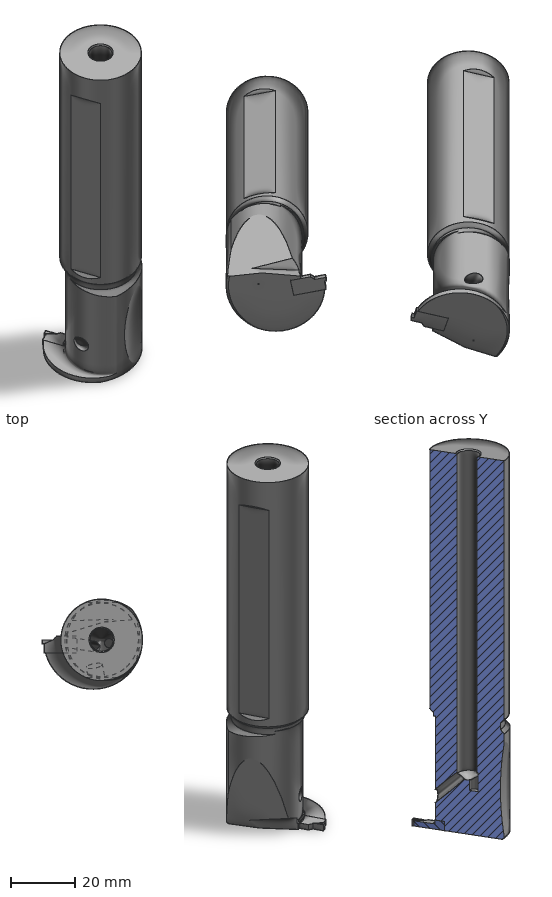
import cadquery as cq
import math

LENGTH = 127.0
SHANK_R = 12.7
SHANK_BOTTOM = 40.5

FLAT_OFFSET = 11.7
FLAT_BOTTOM = 43.4
FLAT_TOP = 117.0
FLAT_CLEAR = 1.3

GROOVE_R = 11.4
GROOVE_BOTTOM = 37.1

DISC_X = -2.7
DISC_R = SHANK_R - DISC_X
FOOT_Z = 0.4
FLANGE_T = 1.9
FLANGE_TOP = FOOT_Z + FLANGE_T

NIB_R = 0.1
NIB_X = 2.3
NIB_Y = 2.0

NECK_X = 1.5
NECK_R = 12.3
NECK_TOP = 38.1
NECK_FILLET = 0.6

BEVEL_X = -4.5
BEVEL_R = 16.4
BEVEL_H = 2.5

FLANK_Y = 5.3
FLANK_TOP_Y = 12.7
FLANK_TOP_Z = 30.5
FLANK_TURN = 5.0

SCOOP_Z = 17.1
SCOOP_R = 95.2
SCOOP_DEPTH = 1.3
SCOOP_TURN = -3.3

POCKET_START_X = -10.9
POCKET_START_Y = 2.0
POCKET_END_X = 1.3
POCKET_END_Y = 5.7
POCKET_TOP_Z = 4.6
ROOF_RISE_X = 0.24
ROOF_RISE_Y = 0.44

BORE_R = 3.5
BORE_CHAMFER = 0.4
BORE_TIP_Z = 17.8
DRILL_POINT = 118.0

OUTLET_R = 1.7
OUTLET_WALL_POINT = (-10.8, -0.8, 11.4)
OUTLET_BORE_POINT = (-1.7, -2.2, 20.0)
OUTLET_OVERRUN = 3.8

DRAIN_R = 1.4
DRAIN_X = 2.3
DRAIN_Y = -1.0
DRAIN_BOTTOM = 15.2

PORT_R = 2.5
PORT_DEPTH = 4.0
PORT_WALL_POINT = (-1.5, -11.9, 13.1)
PORT_DIRECTION = (-0.2, 1.0, -0.3)

TIP_X = -18.5
TIP_H = 0.3
TIP_WIDTH = 1.3
INSERT_EDGE_X = -17.9
INSERT_BACK_Y = -4.0
RAKE_Y = 0.0
RAKE_END_X = -15.1
INSERT_FRONT_Y = 1.1
STEM_X = -14.0
ROOT_FRONT_X = -10.9
ROOT_END_X = -7.6
ROOT_H = 3.0

CLEAR = 38.1


def cylinder(x, radius, z_bottom, z_top):
    """Vertical cylinder whose axis passes through (x, 0)."""
    return cq.Workplane("XY", origin=(x, 0, z_bottom)).circle(radius).extrude(z_top - z_bottom)


def turned_blank():
    """Shank, groove and oversize head as one turned shape."""
    upper_flank = SHANK_R - GROOVE_R
    outer_r = DISC_R - DISC_X
    lower_flank = outer_r - GROOVE_R
    return (
        cq.Workplane("XZ")
        .moveTo(0, FOOT_Z)
        .lineTo(outer_r, FOOT_Z)
        .lineTo(outer_r, GROOVE_BOTTOM - lower_flank)
        .lineTo(GROOVE_R, GROOVE_BOTTOM)
        .lineTo(GROOVE_R, SHANK_BOTTOM - upper_flank)
        .lineTo(SHANK_R, SHANK_BOTTOM)
        .lineTo(SHANK_R, LENGTH)
        .lineTo(0, LENGTH)
        .close()
        .revolve(360, (0, 0), (0, 1))
    )


def head_surround():
    """Material outside the off-centre disc, up to the groove."""
    return cylinder(0, CLEAR, 0, GROOVE_BOTTOM).cut(cylinder(DISC_X, DISC_R, 0, GROOVE_BOTTOM))


def neck_surround():
    """Material around the neck above the flange, leaving a fillet at the neck's foot."""
    ring = cylinder(NECK_X, CLEAR, FLANGE_TOP, NECK_TOP).cut(
        cylinder(NECK_X, NECK_R, FLANGE_TOP, NECK_TOP)
    )
    inner_edge = cq.selectors.RadiusNthSelector(0)
    return ring.faces("<Z").edges(inner_edge).fillet(NECK_FILLET)


def bevel_surround():
    """Material outside the eccentric bevel cone at the bottom of the head."""
    cone = cq.Workplane(
        cq.Solid.makeCone(BEVEL_R, BEVEL_R + BEVEL_H, BEVEL_H, cq.Vector(BEVEL_X, 0, FOOT_Z))
    )
    return cylinder(BEVEL_X, CLEAR, FOOT_Z, FOOT_Z + BEVEL_H).cut(cone)


def shank_flat(side):
    """Cutter for one flat with 45 degree ends; side is -1 for front and +1 for back."""
    outer_y = SHANK_R + FLAT_CLEAR
    flare = outer_y - FLAT_OFFSET
    return (
        cq.Workplane("YZ")
        .polyline([
            (side * FLAT_OFFSET, FLAT_BOTTOM),
            (side * FLAT_OFFSET, FLAT_TOP),
            (side * outer_y, FLAT_TOP + flare),
            (side * outer_y, FLAT_BOTTOM - flare),
        ])
        .close()
        .extrude(SHANK_R, both=True)
    )


def back_flank():
    """Wedge behind the sloping flank, turned a little about Z."""
    slope = (FLANK_TOP_Y - FLANK_Y) / FLANK_TOP_Z
    wedge = (
        cq.Workplane("YZ")
        .polyline([
            (FLANK_Y, 0),
            (FLANK_Y + CLEAR, 0),
            (FLANK_Y + CLEAR, GROOVE_BOTTOM),
            (FLANK_Y + slope * GROOVE_BOTTOM, GROOVE_BOTTOM),
        ])
        .close()
        .extrude(CLEAR, both=True)
    )
    return wedge.rotate((0, 0, 0), (0, 0, 1), FLANK_TURN)


def side_scoop():
    """Large horizontal cylinder beside the head, turned a little about the disc's axis."""
    axis_x = SHANK_R - SCOOP_DEPTH + SCOOP_R
    scoop = cq.Workplane("XZ").center(axis_x, SCOOP_Z).circle(SCOOP_R).extrude(CLEAR, both=True)
    return scoop.rotate((DISC_X, 0, 0), (DISC_X, 0, 1), SCOOP_TURN)


def chip_pocket():
    """Space behind the slanted pocket wall and below the roof that rises towards -X and +Y."""
    wall_slope = (POCKET_END_Y - POCKET_START_Y) / (POCKET_END_X - POCKET_START_X)
    reach_y = POCKET_START_Y + wall_slope * CLEAR
    plan = (
        cq.Workplane("XY")
        .polyline([
            (POCKET_START_X - CLEAR, POCKET_START_Y - wall_slope * CLEAR),
            (POCKET_START_X + CLEAR, reach_y),
            (POCKET_START_X - CLEAR, reach_y),
        ])
        .close()
        .extrude(CLEAR)
    )
    roof_rise = ROOF_RISE_X * CLEAR
    profile = cq.Wire.makePolygon(
        [
            cq.Vector(POCKET_START_X + CLEAR, POCKET_START_Y, POCKET_TOP_Z - roof_rise),
            cq.Vector(POCKET_START_X - CLEAR, POCKET_START_Y, POCKET_TOP_Z + roof_rise),
            cq.Vector(POCKET_START_X - CLEAR, POCKET_START_Y, -CLEAR),
            cq.Vector(POCKET_START_X + CLEAR, POCKET_START_Y, -CLEAR),
        ],
        close=True,
    )
    sweep = cq.Vector(0, CLEAR, ROOF_RISE_Y * CLEAR)
    under_roof = cq.Workplane(cq.Solid.extrudeLinear(profile, [], sweep))
    return plan.intersect(under_roof)


def insert_seat():
    """Open end of the flange, from the insert's back face round to the +Y side."""
    corner = (ROOT_FRONT_X - CLEAR, INSERT_BACK_Y, FOOT_Z)
    return cq.Workplane("XY", origin=corner).box(CLEAR, CLEAR, FLANGE_T, centered=False)


def coolant_bore():
    cone_h = BORE_R / math.tan(math.radians(DRILL_POINT / 2))
    mouth_r = BORE_R + BORE_CHAMFER
    return (
        cq.Workplane("XZ")
        .moveTo(0, BORE_TIP_Z)
        .lineTo(BORE_R, BORE_TIP_Z + cone_h)
        .lineTo(BORE_R, LENGTH - BORE_CHAMFER)
        .lineTo(mouth_r, LENGTH)
        .lineTo(0, LENGTH)
        .close()
        .revolve(360, (0, 0), (0, 1))
    )


def coolant_outlet():
    """Straight hole from outside the neck wall up into the bore."""
    inner = cq.Vector(*OUTLET_BORE_POINT)
    path = cq.Vector(*OUTLET_WALL_POINT) - inner
    return cq.Workplane(cq.Solid.makeCylinder(OUTLET_R, path.Length + OUTLET_OVERRUN, inner, path))


def drain_hole():
    drill = cq.Workplane("XY", origin=(DRAIN_X, DRAIN_Y, DRAIN_BOTTOM)).circle(DRAIN_R)
    return drill.extrude(BORE_TIP_Z + BORE_R - DRAIN_BOTTOM)


def front_port():
    """Blind hole that runs inwards, slightly down and towards -X."""
    axis = cq.Vector(*PORT_DIRECTION).normalized()
    start = cq.Vector(*PORT_WALL_POINT) - axis * PORT_DEPTH
    return cq.Workplane(cq.Solid.makeCylinder(PORT_R, 2 * PORT_DEPTH, start, axis))


def locating_nib():
    return cq.Workplane("XY").center(NIB_X, NIB_Y).circle(NIB_R).extrude(2 * FOOT_Z)


def make_insert():
    """Flat blade with a raised cutting tip and a thicker root set into the neck."""
    tip_back_y = RAKE_Y - TIP_WIDTH
    base = cq.Workplane("XY", origin=(0, 0, FOOT_Z))
    blade = (
        base.polyline([
            (TIP_X, RAKE_Y),
            (RAKE_END_X, RAKE_Y),
            (STEM_X, INSERT_FRONT_Y),
            (ROOT_FRONT_X, INSERT_FRONT_Y),
            (ROOT_FRONT_X, INSERT_BACK_Y),
            (INSERT_EDGE_X, INSERT_BACK_Y),
            (INSERT_EDGE_X, tip_back_y),
            (TIP_X, tip_back_y),
        ])
        .close()
        .extrude(FLANGE_T)
    )
    tip = (
        base.polyline([
            (TIP_X, RAKE_Y),
            (RAKE_END_X, RAKE_Y),
            (INSERT_EDGE_X, tip_back_y),
            (TIP_X, tip_back_y),
        ])
        .close()
        .extrude(FLANGE_T + TIP_H)
    )
    root_length = ROOT_END_X - ROOT_FRONT_X
    root_width = INSERT_FRONT_Y - INSERT_BACK_Y
    root_corner = (ROOT_FRONT_X, INSERT_BACK_Y, FOOT_Z)
    root = cq.Workplane("XY", origin=root_corner).box(root_length, root_width, ROOT_H, centered=False)
    return blade.union(tip).union(root)


def make_holder(insert):
    holder = turned_blank()
    for cutter in (
        head_surround(),
        neck_surround(),
        bevel_surround(),
        shank_flat(-1),
        shank_flat(1),
        back_flank(),
        side_scoop(),
        chip_pocket(),
        insert_seat(),
        coolant_bore(),
        coolant_outlet(),
        drain_hole(),
        front_port(),
        insert,
    ):
        holder = holder.cut(cutter)
    return holder.union(locating_nib())


insert = make_insert()
holder = make_holder(insert)

result = cq.Compound.makeCompound([holder.val(), insert.val()])